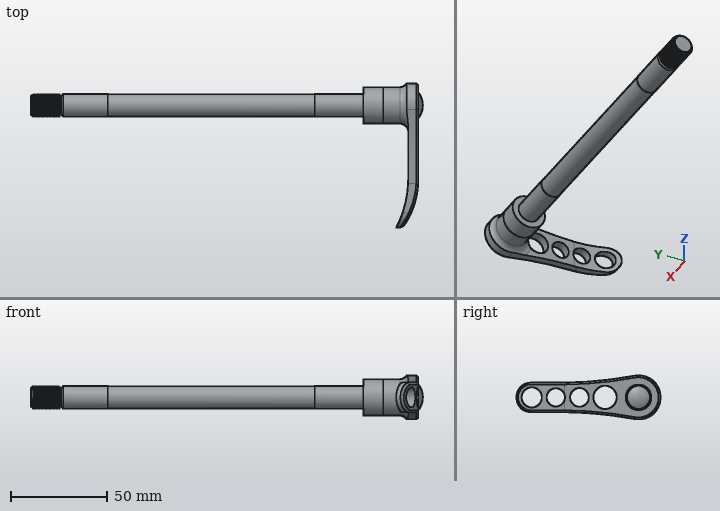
import cadquery as cq
import math


total_length = 203.78
journal_radius = 6.0
waist_radius = 5.9
waist_start = 40.0
waist_end = 147.4
tip_chamfer = 1.1
relief_start = 15.0
relief_cone_start = 15.8
relief_cone_end = 16.8
thread_pitch = 1.5
thread_depth = 0.9
thread_half_angle = 30.0
thread_cut_overshoot = 0.1
thread_lead_in = 0.9
thread_crest_radius = 5.9
thread_root_radius = thread_crest_radius - thread_depth
relief_radius = 4.95
dome_radius = 10.5
dome_height = 2.4

hub_radius = 9.5
collar_start = 172.8
collar_end = 183.2

lever_outer_face = total_length - dome_height
lever_thickness = 5.4
lever_inner_face = lever_outer_face - lever_thickness
lever_edge_chamfer = 1.1
hub_fillet = 4.4
eye_radius = 11.5
arm_half_width = 7.75
arm_flank_radius = 210.0
arm_end = -63.5
arm_tip_center = arm_end + arm_half_width
arm_bend = -38.5
inner_bend_radius = 54.0
outer_bend_radius = 42.0
arm_holes = [(-17.4, 12.0), (-30.7, 9.6), (-43.0, 9.4), (-55.5, 10.4)]


def revolve_about_x(profile):
    return profile.close().revolve(360, (0, 0, 0), (1, 0, 0))


def make_thread_groove():
    """V-shaped helical groove from ahead of the tip to the relief, built along Z and laid on X."""
    cut_depth = thread_depth + thread_cut_overshoot
    cut_half_width = cut_depth * math.tan(math.radians(thread_half_angle))
    cut_outer_radius = thread_root_radius + cut_depth
    helix = cq.Wire.makeHelix(
        thread_pitch, relief_start + thread_lead_in, thread_root_radius, cq.Vector(0, 0, -thread_lead_in)
    )
    groove = (
        cq.Workplane("XZ")
        .moveTo(thread_root_radius, -thread_lead_in)
        .lineTo(cut_outer_radius, -thread_lead_in + cut_half_width)
        .lineTo(cut_outer_radius, -thread_lead_in - cut_half_width)
        .close()
        .sweep(cq.Workplane(obj=helix), isFrenet=True)
    )
    return groove.rotate((0, 0, 0), (0, 1, 0), 90)


def make_axle():
    """Threaded tip, relief, two journals with a thinner waist between, and a domed head."""
    head_edge_radius = math.sqrt(dome_radius**2 - (dome_radius - dome_height) ** 2)
    dome_mid_angle = 0.5 * math.asin(head_edge_radius / dome_radius)
    dome_center = total_length - dome_radius
    profile = (
        cq.Workplane("XZ")
        .moveTo(0, 0)
        .lineTo(0, thread_crest_radius - tip_chamfer)
        .lineTo(tip_chamfer, thread_crest_radius)
        .lineTo(relief_start, thread_crest_radius)
        .lineTo(relief_start, relief_radius)
        .lineTo(relief_cone_start, relief_radius)
        .lineTo(relief_cone_end, journal_radius)
        .lineTo(waist_start, journal_radius)
        .lineTo(waist_start, waist_radius)
        .lineTo(waist_end, waist_radius)
        .lineTo(waist_end, journal_radius)
        .lineTo(lever_outer_face, journal_radius)
        .lineTo(lever_outer_face, head_edge_radius)
        .threePointArc(
            (
                dome_center + dome_radius * math.cos(dome_mid_angle),
                dome_radius * math.sin(dome_mid_angle),
            ),
            (total_length, 0),
        )
    )
    return revolve_about_x(profile).cut(make_thread_groove())


def make_collar():
    """Plain ring on the axle, flush with the lever hub."""
    return (
        cq.Workplane("YZ", origin=(collar_start, 0, 0))
        .circle(hub_radius)
        .circle(journal_radius)
        .extrude(collar_end - collar_start)
    )


def lever_outline():
    """Eye, concave flanks and round tip, extruded along X over the whole lever."""
    flank_center_z = arm_half_width + arm_flank_radius
    center_distance = eye_radius + arm_flank_radius
    flank_center_y = -math.sqrt(center_distance**2 - flank_center_z**2)
    eye_tangent_y = flank_center_y * eye_radius / center_distance
    eye_tangent_z = flank_center_z * eye_radius / center_distance
    return (
        cq.Workplane("YZ", origin=(collar_end, 0, 0))
        .moveTo(eye_tangent_y, eye_tangent_z)
        .threePointArc((eye_radius, 0), (eye_tangent_y, -eye_tangent_z))
        .radiusArc((flank_center_y, -arm_half_width), -arm_flank_radius)
        .lineTo(arm_tip_center, -arm_half_width)
        .threePointArc((arm_end, 0), (arm_tip_center, arm_half_width))
        .lineTo(flank_center_y, arm_half_width)
        .radiusArc((eye_tangent_y, eye_tangent_z), -arm_flank_radius)
        .close()
        .extrude(lever_outer_face - collar_end)
    )


def lever_side_shape():
    """Side shape of the arm, with its tip bent back and tapered."""
    bend_run = arm_bend - arm_end
    inner_setback = inner_bend_radius - math.sqrt(inner_bend_radius**2 - bend_run**2)
    outer_setback = outer_bend_radius - math.sqrt(outer_bend_radius**2 - bend_run**2)
    return (
        cq.Workplane("XY")
        .moveTo(lever_inner_face, eye_radius)
        .lineTo(lever_outer_face, eye_radius)
        .lineTo(lever_outer_face, arm_bend)
        .radiusArc((lever_outer_face - outer_setback, arm_end), outer_bend_radius)
        .lineTo(lever_inner_face - inner_setback, arm_end)
        .radiusArc((lever_inner_face, arm_bend), -inner_bend_radius)
        .close()
        .extrude(eye_radius, both=True)
    )


def make_hub():
    """Round hub that flares with a concave fillet into the inner face of the arm."""
    profile = (
        cq.Workplane("XY")
        .moveTo(collar_end, 0)
        .lineTo(collar_end, hub_radius)
        .lineTo(lever_inner_face - hub_fillet, hub_radius)
        .radiusArc((lever_inner_face, hub_radius + hub_fillet), -hub_fillet)
        .lineTo(lever_inner_face, 0)
    )
    return revolve_about_x(profile)


def bore_along_x(center_y, diameter):
    return cq.Workplane("YZ").center(center_y, 0).circle(diameter / 2).extrude(total_length)


def make_lever():
    outline = lever_outline()
    arm = outline.intersect(lever_side_shape())
    arm = arm.faces(">X").edges().chamfer(lever_edge_chamfer)
    lever = arm.union(make_hub().intersect(outline))
    lever = lever.cut(bore_along_x(0, 2 * journal_radius))
    for hole_y, hole_diameter in arm_holes:
        lever = lever.cut(bore_along_x(hole_y, hole_diameter))
    return lever


axle = make_axle()
collar = make_collar()
lever = make_lever()
result = cq.Compound.makeCompound([axle.solids().val(), collar.val(), lever.solids().val()])